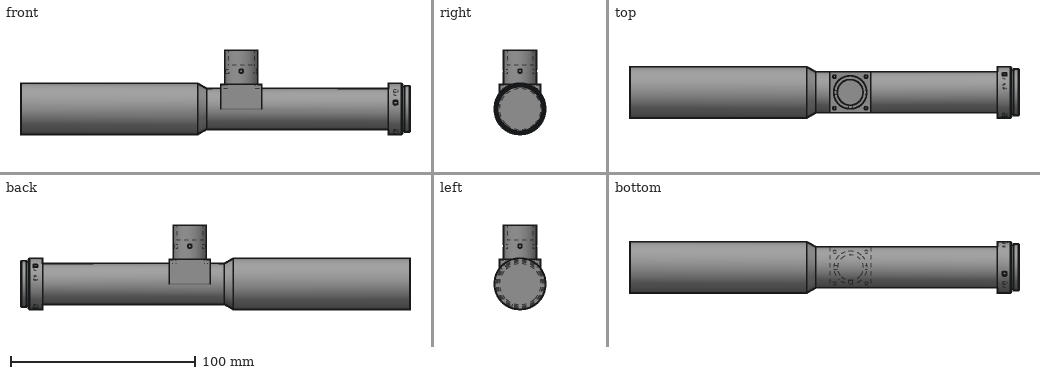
import cadquery as cq
import math

total_length = 211.5
barrel_radius = 14.0
barrel_length = 96.0
tube_radius = 11.2
cone_end = 100.8

collar_start = 199.5
collar_end = 207.4
collar_chamfer = 0.8
neck_radius = 12.0
ring_start = 208.5
ring_radius = 12.7
ring_chamfer = 0.53

block_center_x = 119.7
block_width = 2 * tube_radius
block_top = 13.3
post_diameter = 18.0
post_radius = post_diameter / 2
post_top = 32.0
bore_radius = 7.0
bore_depth = 8.0

screw_spacing = 17.1
screw_diameter = 1.7
screw_depth = 2.1
post_hole_diameter = 2.1
post_hole_drop = 11.5
post_hole_depth = 2.1
post_hole_count = 4
collar_hole_diameter = 2.5
collar_hole_depth = 2.1
collar_hole_first_angle = 45.0
collar_hole_count = 3


def make_body():
    """Revolve the barrel, tube, collar and end ring about the X axis."""
    profile = [
        (0, 0),
        (0, barrel_radius),
        (barrel_length, barrel_radius),
        (cone_end, tube_radius),
        (collar_start, tube_radius),
        (collar_start, barrel_radius),
        (collar_end - collar_chamfer, barrel_radius),
        (collar_end, barrel_radius - collar_chamfer),
        (collar_end, neck_radius),
        (ring_start, neck_radius),
        (ring_start, ring_radius),
        (total_length - ring_chamfer, ring_radius),
        (total_length, ring_radius - ring_chamfer),
        (total_length, 0),
    ]
    return cq.Workplane("XY").polyline(profile).close().revolve(360, (0, 0, 0), (1, 0, 0))


def make_side_port():
    """Block from the tube axis upward, carrying the post with its blind bore and corner holes."""
    base = cq.Workplane("XY").center(block_center_x, 0)
    block = base.rect(block_width, block_width).extrude(block_top)
    block = (
        block.faces(">Z").workplane(origin=(block_center_x, 0, block_top))
        .rect(screw_spacing, screw_spacing, forConstruction=True)
        .vertices()
        .hole(screw_diameter, screw_depth)
    )
    post = base.circle(post_radius).extrude(post_top)
    bore = base.workplane(offset=post_top).circle(bore_radius).extrude(-bore_depth)
    return block.union(post).cut(bore)


def radial_hole(center, direction, surface_radius, diameter, depth):
    """Cutter running inward from beyond a round surface to the given depth below it."""
    inner_radius = surface_radius - depth
    start = center + direction * inner_radius
    return cq.Workplane(cq.Solid.makeCylinder(diameter / 2, 2 * depth, start, direction))


result = make_body().union(make_side_port())

post_hole_center = cq.Vector(block_center_x, 0, post_top - post_hole_drop)
for index in range(post_hole_count):
    angle = math.radians(index * 360 / post_hole_count)
    outward = cq.Vector(math.cos(angle), math.sin(angle), 0)
    result = result.cut(
        radial_hole(post_hole_center, outward, post_radius, post_hole_diameter, post_hole_depth)
    )

collar_hole_center = cq.Vector((collar_start + collar_end) / 2, 0, 0)
for index in range(collar_hole_count):
    angle = math.radians(collar_hole_first_angle + index * 360 / collar_hole_count)
    outward = cq.Vector(0, math.cos(angle), math.sin(angle))
    result = result.cut(
        radial_hole(collar_hole_center, outward, barrel_radius, collar_hole_diameter, collar_hole_depth)
    )